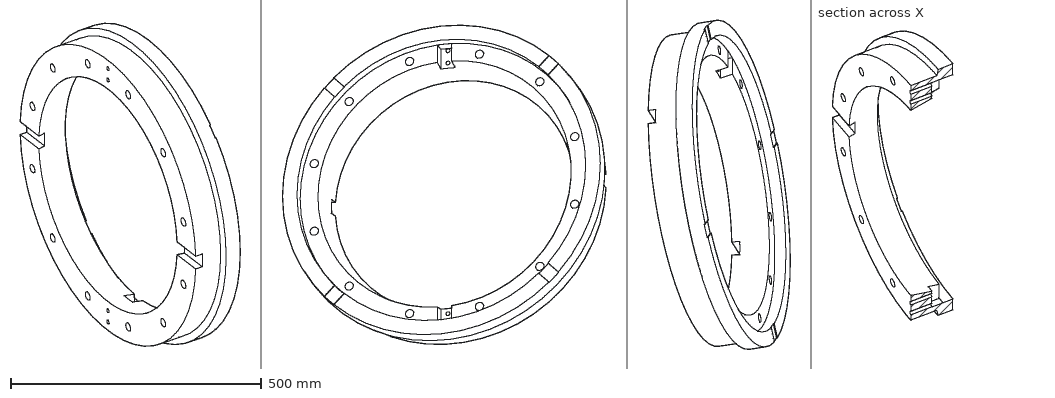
import cadquery as cq
import math

outer_radius = 330.0
ring_depth = 97.0
front_y = -ring_depth / 2
back_y = ring_depth / 2

body_radius = 315.0
flange_thickness = 34.0
shoulder_drop = 3.0
flange_front_y = back_y - flange_thickness

bore_front_radius = 247.5
bore_rim_radius = 263.0
recess_radius = 299.5
recess_depth = 23.0
recess_floor_y = back_y - recess_depth

bolt_count = 12
bolt_circle_radius = 280.0
bolt_hole_diameter = 17.0

key_hole_radii = (268.5, 295.0)
key_hole_diameter = 8.0

slot_width = 30.0
front_slot_depth = 16.0
keyway_depth = 25.0
rim_slot_depth = 2.0
rim_slot_width = 28.0


def ring_body():
    """Half section of the ring revolved about the Y axis."""
    section = [
        (bore_front_radius, front_y),
        (body_radius, front_y),
        (body_radius, flange_front_y - shoulder_drop),
        (outer_radius, flange_front_y),
        (outer_radius, back_y),
        (recess_radius, back_y),
        (recess_radius, recess_floor_y),
        (bore_rim_radius, recess_floor_y),
    ]
    return cq.Workplane("XY").polyline(section).close().revolve(360, (0, 0), (0, 1))


def axial_holes(points, diameter):
    """Cylinders along Y through the full depth, at (x, z) points."""
    holes = cq.Workplane("XZ", origin=(0, back_y, 0)).pushPoints(points)
    return holes.circle(diameter / 2).extrude(ring_depth)


def radial_slot(angle, width, start_y, end_y, reach):
    """Box from the ring axis out to the given reach, turned about Y."""
    box = cq.Workplane("XY").box(reach, end_y - start_y, width, centered=(False, False, True))
    return box.translate((0, start_y, 0)).rotate((0, 0, 0), (0, 1, 0), angle)


def polar_point(radius, angle):
    """Point at a radius and an angle in degrees from +X."""
    return (radius * math.cos(math.radians(angle)), radius * math.sin(math.radians(angle)))


result = ring_body()

bolt_pitch = 360 / bolt_count
bolt_points = [polar_point(bolt_circle_radius, (i + 0.5) * bolt_pitch) for i in range(bolt_count)]
result = result.cut(axial_holes(bolt_points, bolt_hole_diameter))

key_points = [(0, side * radius) for side in (1, -1) for radius in key_hole_radii]
result = result.cut(axial_holes(key_points, key_hole_diameter))

for angle in (0, 180):
    result = result.cut(radial_slot(angle, slot_width, front_y, front_y + front_slot_depth, outer_radius))

keyway_floor_y = recess_floor_y - keyway_depth
for angle in (90, 270):
    result = result.cut(radial_slot(angle, slot_width, keyway_floor_y, recess_floor_y, recess_radius))

rim_slot_reach = outer_radius + rim_slot_width
for angle in (45, 135, 225, 315):
    result = result.cut(radial_slot(angle, rim_slot_width, back_y - rim_slot_depth, back_y, rim_slot_reach))